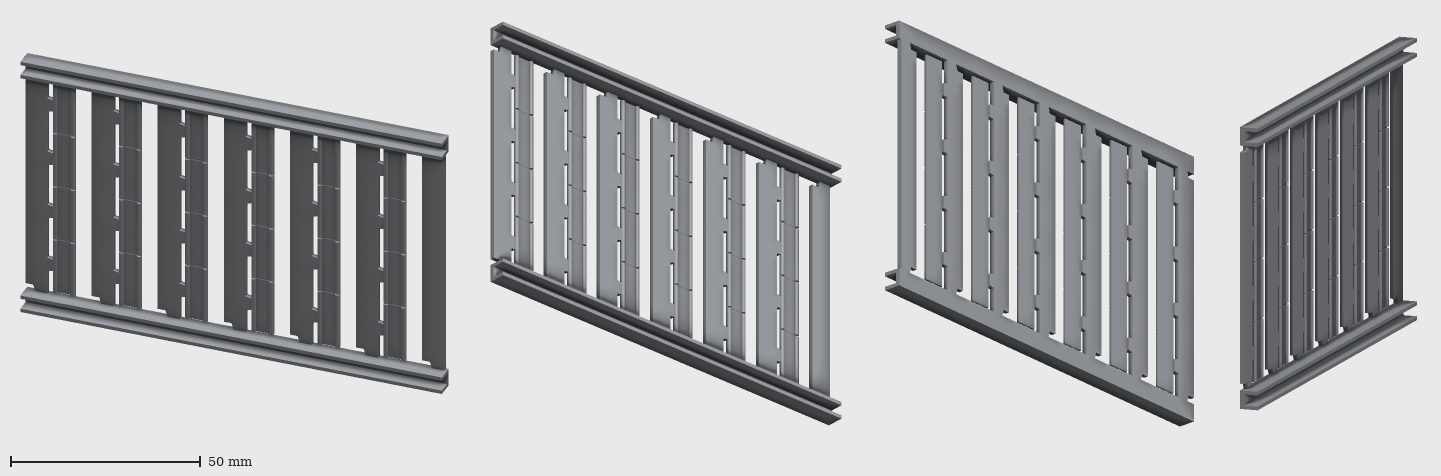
import cadquery as cq
FRAME_LENGTH = 119.2
FRAME_DEPTH = 5.0
FRAME_HEIGHT = 76.0
LEFT = -FRAME_LENGTH / 2
BACK = FRAME_DEPTH / 2

RAIL_HEIGHT = 5.0
RAIL_WALL = 1.0
RAIL_WEB = 1.2
INNER_HALF = FRAME_HEIGHT / 2 - RAIL_HEIGHT

SLAT_COUNT = 7
SLAT_PITCH = 18.7
SLAT_WIDTH = 6.2
SLAT_THICKNESS = 1.3
NOTCH_HEIGHT = 1.8
NOTCH_WIDTH_INNER = 2.2
NOTCH_WIDTH_AT_RAIL = 2.7

STRIP_OFFSET = 7.7
STRIP_WIDTH = 6.3
STRIP_INSET = 0.6
WEB_THICKNESS = 0.4
RIDGE_RADIUS = 0.6
RIDGE_CREST = 0.1
RIDGE_WIDTH = 2 * RIDGE_RADIUS + RIDGE_CREST
WEB_FRONT = BACK - STRIP_INSET - WEB_THICKNESS
RIDGE_FRONT = WEB_FRONT - RIDGE_RADIUS
SEGMENT_COUNT = 4
SEGMENT_LENGTH = 16.15
STRIP_LENGTH = SEGMENT_COUNT * SEGMENT_LENGTH

BREAK_WIDTH = 0.5
BREAK_DEPTH = 0.085

TAB_ROOT_WIDTH = 4.1
TAB_TIP_WIDTH = 3.5


def make_rail(bottom):
    """U-channel of the full length whose lower outside face is at Z = bottom."""
    body = cq.Workplane("XY").box(FRAME_LENGTH, FRAME_DEPTH, RAIL_HEIGHT)
    channel = (
        cq.Workplane("XY")
        .box(FRAME_LENGTH, FRAME_DEPTH, RAIL_HEIGHT - 2 * RAIL_WALL)
        .translate((0, -RAIL_WEB, 0))
    )
    return body.cut(channel).translate((0, 0, bottom + RAIL_HEIGHT / 2))


def back_plate(points):
    """Plate of slat thickness on the back face, outlined by (X, Z) points."""
    return (
        cq.Workplane("XZ", origin=(0, BACK, 0)).polyline(points).close().extrude(SLAT_THICKNESS)
    )


def make_slat(left):
    """Slat whose left edge is at X = left, with both left corners notched."""
    right = left + SLAT_WIDTH
    shoulder = INNER_HALF - NOTCH_HEIGHT
    return back_plate(
        [
            (left, -shoulder),
            (left + NOTCH_WIDTH_INNER, -shoulder),
            (left + NOTCH_WIDTH_AT_RAIL, -INNER_HALF),
            (right, -INNER_HALF),
            (right, INNER_HALF),
            (left + NOTCH_WIDTH_AT_RAIL, INNER_HALF),
            (left + NOTCH_WIDTH_INNER, shoulder),
            (left, shoulder),
        ]
    )


def make_tab(slat_left, middle):
    """Tapered tab joining a slat to its strip, centred at Z = middle."""
    root = slat_left + SLAT_WIDTH
    tip = slat_left + STRIP_OFFSET
    return back_plate(
        [
            (root, middle - TAB_ROOT_WIDTH / 2),
            (tip, middle - TAB_TIP_WIDTH / 2),
            (tip, middle + TAB_TIP_WIDTH / 2),
            (root, middle + TAB_ROOT_WIDTH / 2),
        ]
    )


def make_ridge(left):
    """Rounded bar along the front of the web, left edge at X = left."""
    right = left + RIDGE_WIDTH
    return (
        cq.Workplane("XY", origin=(0, 0, -STRIP_LENGTH / 2))
        .moveTo(left, WEB_FRONT)
        .radiusArc((left + RIDGE_RADIUS, RIDGE_FRONT), -RIDGE_RADIUS)
        .lineTo(right - RIDGE_RADIUS, RIDGE_FRONT)
        .radiusArc((right, WEB_FRONT), -RIDGE_RADIUS)
        .close()
        .extrude(STRIP_LENGTH)
    )


def make_break(left, height):
    """Cutter for one break line across the strip at Z = height."""
    return (
        cq.Workplane("YZ", origin=(left, 0, 0))
        .polyline(
            [
                (RIDGE_FRONT, height - BREAK_WIDTH / 2),
                (WEB_FRONT, height - BREAK_WIDTH / 2),
                (WEB_FRONT + BREAK_DEPTH, height),
                (WEB_FRONT, height + BREAK_WIDTH / 2),
                (RIDGE_FRONT, height + BREAK_WIDTH / 2),
            ]
        )
        .close()
        .extrude(STRIP_WIDTH)
    )


def make_strip(left):
    """Flat web with a rounded ridge along each long edge, left edge at X = left."""
    web = (
        cq.Workplane("XY")
        .box(STRIP_WIDTH, WEB_THICKNESS, STRIP_LENGTH)
        .translate((left + STRIP_WIDTH / 2, WEB_FRONT + WEB_THICKNESS / 2, 0))
    )
    strip = web.union(make_ridge(left)).union(make_ridge(left + STRIP_WIDTH - RIDGE_WIDTH))
    for joint in range(1, SEGMENT_COUNT):
        strip = strip.cut(make_break(left, joint * SEGMENT_LENGTH - STRIP_LENGTH / 2))
    return strip


def segment_middle(index):
    """Z of the middle of a strip segment, counted from the bottom."""
    return (index - (SEGMENT_COUNT - 1) / 2) * SEGMENT_LENGTH


result = make_rail(-FRAME_HEIGHT / 2).union(make_rail(INNER_HALF))
for slat_index in range(SLAT_COUNT):
    slat_left = LEFT + slat_index * SLAT_PITCH
    result = result.union(make_slat(slat_left))
    if slat_index < SLAT_COUNT - 1:
        result = result.union(make_strip(slat_left + STRIP_OFFSET))
        for segment_index in range(SEGMENT_COUNT):
            result = result.union(make_tab(slat_left, segment_middle(segment_index)))